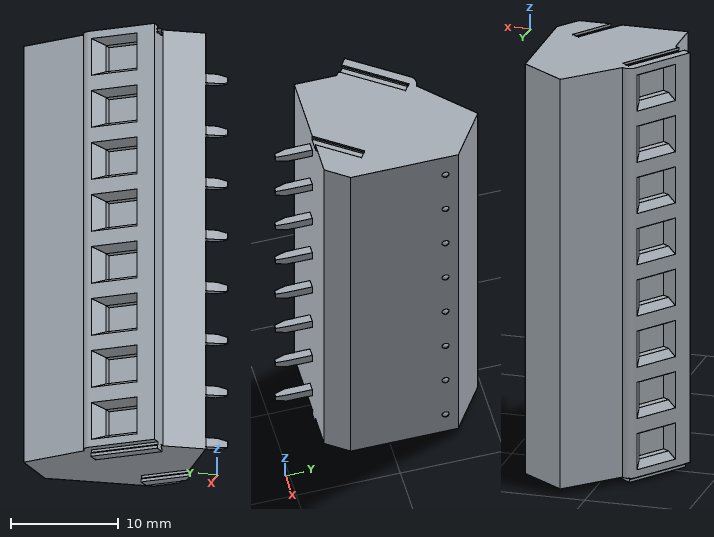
import cadquery as cq
import math

overall_height = 41.25
pole_count = 8
pitch = 5.07
body_height = pole_count * pitch
pole_heights = [(i + 0.5) * pitch for i in range(pole_count)]

body_width = 12.1
corner_x = 10.55
corner_y = 2.15
right_wall_top = 12.5
apex = (7.8, 15.55)
notch = (3.15, 10.9)
lip_top = (2.47, 11.0)

entry_angle = 55
entry_foot = (-1.77, 5.3)
entry_face_length = 6.47

mouth_length = 4.55
mouth_height = 3.6
mouth_offset = 1.77
mouth_depth = 1.05
well_length = 3.45
well_height = 2.55
well_depth = 0.7

neck_width = 0.85
head_width = 1.15
neck_depth = 0.25
flare_depth = 0.37
joint_depth = overall_height - body_height
entry_joint_inset = 1.28
entry_joint_length = 6.65
front_tongue_end = (9.53, 3.7)
front_joint_length = 5.77
front_groove_clearance = 0.35

pin_x = 6.0
pin_width = 0.8
pin_thickness = 0.9
pin_length = 3.45
pin_straight = 2.45
tip_width = 0.4
tip_thickness = 0.58
pin_root = 0.82

dome_y = 11.25
dome_radius = 0.35
dome_height = 0.25
dome_root = 0.4

slope = math.radians(entry_angle)
along = cq.Vector(math.cos(slope), math.sin(slope), 0)
inward = cq.Vector(math.sin(slope), -math.cos(slope), 0)
foot = cq.Vector(*entry_foot, 0)
lip_end = foot + along * entry_face_length
wall_top = foot.y + foot.x / math.tan(slope)


def make_housing():
    return (
        cq.Workplane("XY")
        .lineTo(corner_x, 0)
        .lineTo(body_width, corner_y)
        .lineTo(body_width, right_wall_top)
        .lineTo(*apex)
        .lineTo(*notch)
        .threePointArc(lip_top, lip_end.toTuple()[:2])
        .lineTo(*entry_foot)
        .lineTo(0, wall_top)
        .close()
        .extrude(body_height)
    )


def make_wire_entry(height):
    """Mouth whose upper wall and both ends taper inward to a well, while its lower wall is straight."""
    low_edge = foot + along * mouth_offset
    mouth_center = low_edge + along * (mouth_length / 2) + cq.Vector(0, 0, height)
    face = cq.Workplane(cq.Plane(origin=mouth_center, xDir=along, normal=inward))
    well_shift = (well_length - mouth_length) / 2
    mouth = (
        face.rect(mouth_length, mouth_height)
        .workplane(offset=mouth_depth)
        .center(well_shift, 0)
        .rect(well_length, well_height)
        .loft()
    )
    well = face.center(well_shift, 0).rect(well_length, well_height).extrude(mouth_depth + well_depth)
    return mouth.union(well)


def make_dovetail(end, length, height):
    """Dovetail bar hanging below the given height, running down the slope from its end."""
    start = cq.Vector(end.x, end.y, height)
    plane = cq.Plane(origin=start, xDir=inward, normal=along * -1)
    neck = neck_width / 2
    head = head_width / 2
    return (
        cq.Workplane(plane)
        .moveTo(-neck, 0)
        .lineTo(-neck, -neck_depth)
        .lineTo(-head, -flare_depth)
        .lineTo(-head, -joint_depth)
        .lineTo(head, -joint_depth)
        .lineTo(head, -flare_depth)
        .lineTo(neck, -neck_depth)
        .lineTo(neck, 0)
        .close()
        .extrude(length)
    )


def make_pin(height):
    root = cq.Workplane("XZ", origin=(pin_x, pin_root, height))
    shank = root.rect(pin_width, pin_thickness).extrude(pin_root + pin_straight)
    tip = (
        shank.faces("<Y")
        .workplane(centerOption="CenterOfMass")
        .rect(pin_width, pin_thickness)
        .workplane(offset=pin_length - pin_straight)
        .rect(tip_width, tip_thickness)
        .loft(combine=False)
    )
    return shank.union(tip)


def make_dome(height):
    """Spherical cap on a short stub that is sunk into the right wall."""
    wall_side = cq.Workplane("XY", origin=(body_width, dome_y, height))
    sphere_radius = (dome_radius**2 + dome_height**2) / (2 * dome_height)
    sphere_x = dome_height - sphere_radius
    half_radius = dome_radius / 2
    bulge = (sphere_x + math.sqrt(sphere_radius**2 - half_radius**2), half_radius)
    return (
        wall_side.moveTo(-dome_root, 0)
        .lineTo(-dome_root, dome_radius)
        .lineTo(0, dome_radius)
        .threePointArc(bulge, (dome_height, 0))
        .close()
        .revolve(360, (0, 0, 0), (1, 0, 0))
    )


behind_pin_face = cq.Workplane("XY", origin=(0, 0, -joint_depth)).box(
    2 * body_width, apex[1], joint_depth, centered=(True, False, False)
)
entry_joint_end = foot + inward * entry_joint_inset + along * entry_joint_length
front_tongue_point = cq.Vector(*front_tongue_end, 0)
front_groove_end = front_tongue_point + along * front_groove_clearance
grooves = [(entry_joint_end, entry_joint_length), (front_groove_end, front_joint_length)]
tongues = [(entry_joint_end, entry_joint_length), (front_tongue_point, front_joint_length)]

result = make_housing()
for height in pole_heights:
    result = result.cut(make_wire_entry(height)).union(make_pin(height)).union(make_dome(height))
for end, length in grooves:
    result = result.cut(make_dovetail(end, length, body_height))
for end, length in tongues:
    result = result.union(make_dovetail(end, length, 0).intersect(behind_pin_face))